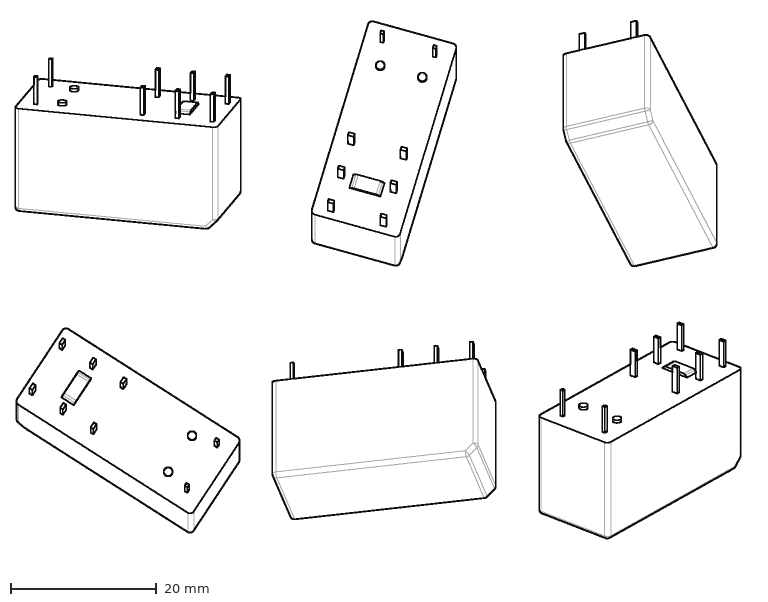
import cadquery as cq

length = 28.9
width = 12.6
total_height = 19.1
pin_height = 4.0
body_height = total_height - pin_height
corner_chamfer = 1.42
edge_radius = 0.6

pin_thickness = 0.45
contact_pin_width = 0.85
pin_row_spacing = 7.5
coil_pin_x = -12.08
contact_pitch = 5.0
first_contact_x = 3.18
contact_count = 3

standoff_height = 0.43
standoff_diameter = 1.2
standoff_x = -8.53
standoff_spacing = 6.0
bar_x = 8.45
bar_width = 2.02
bar_length = 4.45
bar_bevel = 0.45
bar_edge_radius = 0.5


def make_body():
    """Box with one chamfered lower edge; every edge below the top face is rounded."""
    box = cq.Workplane("XY").box(length, width, body_height, centered=(True, True, False))
    box = box.translate((0, 0, -body_height))
    box = box.edges(">X and <Z").chamfer(corner_chamfer)
    return box.edges("not >Z").fillet(edge_radius)


def make_pins(x, pin_width):
    """Pair of pins at one X position, one in each row."""
    return (
        cq.Workplane("XY")
        .pushPoints([(x, -pin_row_spacing / 2), (x, pin_row_spacing / 2)])
        .rect(pin_thickness, pin_width)
        .extrude(pin_height)
    )


def make_standoffs():
    """Pair of short round standoffs."""
    return (
        cq.Workplane("XY")
        .pushPoints([(standoff_x, -standoff_spacing / 2), (standoff_x, standoff_spacing / 2)])
        .circle(standoff_diameter / 2)
        .extrude(standoff_height)
    )


def make_bar():
    """Low bar across the width, with sloped ends blended into its flat top."""
    half_base = bar_length / 2
    half_top = half_base - bar_bevel
    bar = (
        cq.Workplane("YZ", origin=(bar_x - bar_width / 2, 0, 0))
        .moveTo(-half_base, 0)
        .lineTo(half_base, 0)
        .lineTo(half_top, standoff_height)
        .lineTo(-half_top, standoff_height)
        .close()
        .extrude(bar_width)
    )
    return bar.edges("|X and >Z").fillet(bar_edge_radius)


result = make_body().union(make_standoffs()).union(make_bar())
result = result.union(make_pins(coil_pin_x, pin_thickness))
for index in range(contact_count):
    contact_x = first_contact_x + index * contact_pitch
    result = result.union(make_pins(contact_x, contact_pin_width))